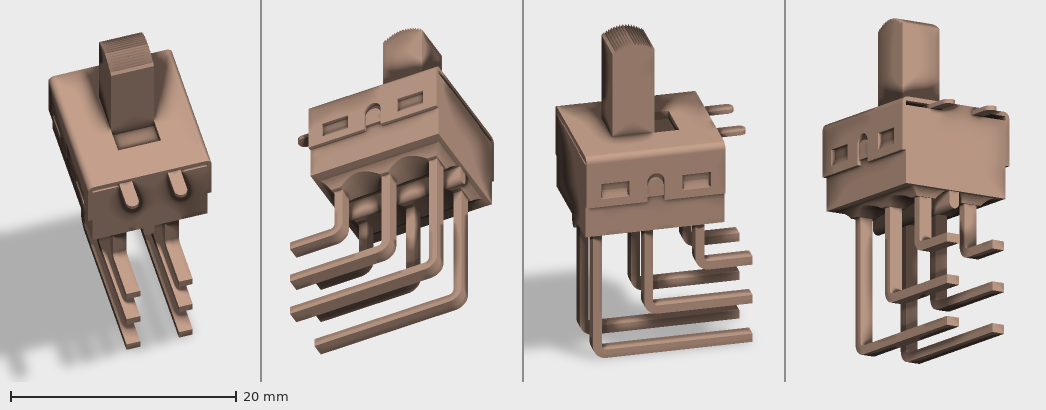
import cadquery as cq
import math

body_length = 12.72
cover_width = 11.42
cover_top = 7.93
cover_bottom = 3.03
sheet = 0.4
cover_bend_radius = 0.58
housing_width = cover_width - 2 * sheet
gap_height = 0.4
housing_top = cover_top - sheet - gap_height
overlap = 0.3
full_round = 0.499

opening_length = 6.15
lever_length = 3.88
lever_width = 3.97
lever_x = (lever_length - opening_length) / 2
lever_top = 17.0
overall_height = 30.28
crown_radius = 2.8
crown_shoulder = 16.17
tooth_depth = 0.25
tooth_angle = 5.4
teeth_each_side = 7
steep_flank = 0.075

plate_width = 5.65
plate_top = cover_top - sheet
plate_bevel = 0.3
prong_width = 1.18
prong_end = 9.05

window_x = 3.72
window_length = 2.57
window_bottom = 3.82
window_height = 1.48
wedge_length = 2.3
wedge_height = 0.67
wedge_depth = 0.27
notch_width = 1.57
notch_top = 5.75
key_width = 1.48
key_bottom = 3.48
key_top = 5.2
key_depth = 0.3

rail_length = 12.23
rail_width = 1.0
rail_depth = 1.55

row_y = 2.42
terminals_per_row = 3
terminal_pitch = 4.7
terminal_thickness = 0.82
terminal_width = 1.27
terminal_end = 9.5
inner_bend_radius = 0.42
lowest_terminal = lever_top - overall_height
level_pitch = 3.82
resin_depth = 0.67
resin_sag = 0.075
resin_crest = 0.15
resin_foot = 0.4
resin_base_length = 11.8
resin_tip_length = 10.42
resin_base_width = 3.57
resin_tip_width = 2.03
resin_base_y = 2.5


def block(length, width, bottom, top, x=0.0, y=0.0):
    """Box centred on x and y, standing between two heights."""
    box = cq.Workplane("XY").box(length, width, top - bottom, centered=(True, True, False))
    return box.translate((x, y, bottom))


def arch(width, bottom, top, depth):
    """Round-topped block on the -Y face of the housing, running out by depth."""
    radius = width / 2
    spring = top - radius
    outline = (
        cq.Workplane("XZ", origin=(0, overlap - housing_width / 2, 0))
        .moveTo(-radius, bottom)
        .lineTo(radius, bottom)
        .lineTo(radius, spring)
        .threePointArc((0, top), (-radius, spring))
        .close()
    )
    return outline.extrude(depth + overlap)


def both_sides(shape):
    """Shape together with its mirror image across the XZ plane."""
    return shape.union(shape.mirror("XZ"))


def make_cover():
    shell = block(body_length, cover_width, cover_bottom, cover_top)
    shell = shell.edges("|X and >Z").fillet(cover_bend_radius)
    shell = shell.cut(block(body_length, housing_width, cover_bottom, plate_top))
    shell = shell.cut(block(opening_length, lever_width, plate_top, cover_top))
    for x in (-window_x, window_x):
        shell = shell.cut(
            block(window_length, cover_width, window_bottom, window_bottom + window_height, x)
        )
    return shell.cut(both_sides(arch(notch_width, cover_bottom, notch_top, sheet)))


def make_wedge(x):
    """Snap wedge: flat underneath, sloping back to the housing at its top."""
    face_y = -housing_width / 2
    return (
        cq.Workplane("YZ", origin=(x - wedge_length / 2, 0, 0))
        .moveTo(face_y - wedge_depth, window_bottom)
        .lineTo(face_y, window_bottom + wedge_height)
        .lineTo(face_y + overlap, window_bottom + wedge_height)
        .lineTo(face_y + overlap, window_bottom)
        .close()
        .extrude(wedge_length)
    )


def make_housing():
    housing = block(body_length, housing_width, 0, housing_top)
    rail = block(rail_length, rail_width, -rail_depth, overlap)
    rail = rail.edges("|X and <Z").fillet(full_round * rail_width)
    details = arch(key_width, key_bottom, key_top, key_depth)
    for x in (-window_x, window_x):
        details = details.union(make_wedge(x))
    return housing.union(rail).union(both_sides(details))


def make_ground_plate():
    plate = block(body_length, plate_width, housing_top, plate_top)
    plate = plate.edges("<X and >Z").chamfer(plate_bevel)
    prong_start = body_length / 2 - overlap
    prong = block(
        prong_end - prong_start,
        prong_width,
        housing_top,
        plate_top,
        (prong_end + prong_start) / 2,
        -(plate_width - prong_width) / 2,
    )
    prong = prong.edges("|Z and >X").fillet(full_round * prong_width)
    plate = plate.union(both_sides(prong))
    return plate.cut(block(opening_length, lever_width, housing_top, plate_top))


def crown_height(x):
    """Height of the tooth-tip arc at a distance x from the lever's middle."""
    return lever_top - crown_radius + math.sqrt(crown_radius**2 - x**2)


def make_lever():
    """Rectangular lever whose crown carries sawteeth along an arc, mirrored about its middle."""
    half_length = lever_length / 2
    right_half = []
    for tooth in range(1, teeth_each_side + 1):
        tip_x = crown_radius * math.sin(math.radians(tooth * tooth_angle))
        valley_x = tip_x - steep_flank
        right_half.append((valley_x, crown_height(valley_x) - tooth_depth))
        right_half.append((tip_x, crown_height(tip_x)))
    right_half.append((half_length, crown_shoulder))
    right_half.append((half_length, housing_top - overlap))
    left_half = [(-x, z) for x, z in reversed(right_half)]
    outline = left_half + [(0, lever_top)] + right_half
    return (
        cq.Workplane("XZ", origin=(lever_x, lever_width / 2, 0))
        .polyline(outline)
        .close()
        .extrude(lever_width)
    )


def make_terminal(x, bottom):
    """Flat strip coming down from the housing and bent toward +X."""
    left = x - terminal_thickness / 2
    right = x + terminal_thickness / 2
    upper = bottom + terminal_thickness
    strip = (
        cq.Workplane("XZ", origin=(0, terminal_width / 2 - row_y, 0))
        .moveTo(left, overlap)
        .lineTo(left, bottom)
        .lineTo(terminal_end, bottom)
        .lineTo(terminal_end, upper)
        .lineTo(right, upper)
        .lineTo(right, overlap)
        .close()
        .extrude(terminal_width)
    )
    strip = strip.edges(cq.selectors.NearestToPointSelector((left, -row_y, bottom))).fillet(
        inner_bend_radius + terminal_thickness
    )
    return strip.edges(cq.selectors.NearestToPointSelector((right, -row_y, upper))).fillet(
        inner_bend_radius
    )


def flared_block(plane, base_centre, base_width, tip_centre, tip_width, length):
    """Block below the housing with concave flanks, extruded by length to both sides of plane."""
    base_left = base_centre - base_width / 2
    base_right = base_centre + base_width / 2
    tip_left = tip_centre - tip_width / 2
    tip_right = tip_centre + tip_width / 2
    return (
        cq.Workplane(plane)
        .moveTo(base_left, 0)
        .sagittaArc((tip_left, -resin_depth), resin_sag)
        .lineTo(tip_right, -resin_depth)
        .sagittaArc((base_right, 0), resin_sag)
        .close()
        .extrude(length, both=True)
    )


def make_resin():
    """Resin strip with concave flanks, scooped out between neighbouring terminals."""
    across = flared_block(
        "YZ", -resin_base_y, resin_base_width, -row_y, resin_tip_width, resin_base_length
    )
    along = flared_block("XZ", 0, resin_base_length, 0, resin_tip_length, cover_width)
    strip = across.intersect(along)
    half_chord = terminal_pitch / 2 - resin_foot
    rise = resin_depth - resin_crest
    scoop_radius = (half_chord**2 + rise**2) / (2 * rise)
    for x in (-terminal_pitch / 2, terminal_pitch / 2):
        scoop = (
            cq.Workplane("XZ")
            .center(x, -resin_crest - scoop_radius)
            .circle(scoop_radius)
            .extrude(cover_width)
        )
        strip = strip.cut(scoop)
    return strip


def make_terminal_row():
    row = make_resin()
    first_x = -(terminals_per_row - 1) * terminal_pitch / 2
    for index in range(terminals_per_row):
        x = first_x + index * terminal_pitch
        row = row.union(make_terminal(x, lowest_terminal + index * level_pitch))
    return row


result = (
    make_housing()
    .union(make_cover())
    .union(make_ground_plate())
    .union(make_lever())
    .union(both_sides(make_terminal_row()))
)